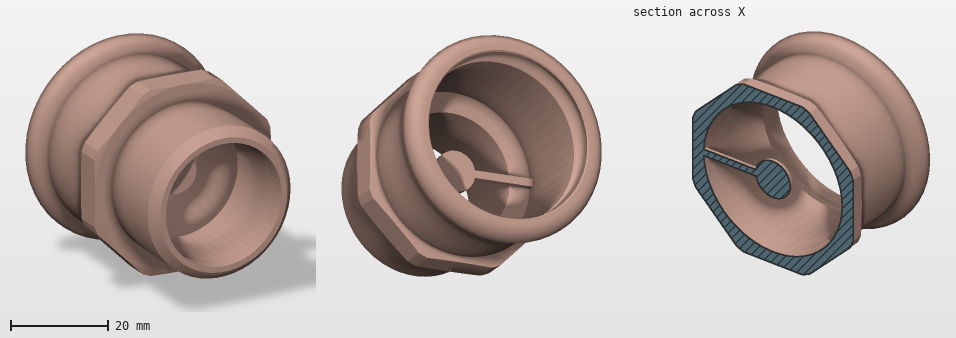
import cadquery as cq
import math

length = 47.5

bead_outer_diameter = 44.4
bead_radius = 3.0
bead_ring_radius = bead_outer_diameter / 2 - bead_radius

sleeve_radius = 19.15
socket_bore_radius = 17.55
bead_cone_end = 6.5
mouth_radius = 18.25
lip_radius = 17.95
lip_depth = 0.3
groove_start = 2.15
groove_start_radius = 19.0
groove_crown = 3.25
groove_crown_radius = 19.85
groove_end = 4.3
groove_end_radius = 19.75
socket_bore_start = 5.75

collar_start = 23.15
collar_end = 29.65
collar_flat_radius = 20.42
collar_corner_radius = 21.7
collar_front_chamfer = 0.5
collar_back_chamfer = 0.35

spigot_radius = 16.6
spigot_tip_radius = 14.7
spigot_chamfer_start = 45.45
spigot_bore_radius = 13.45
shoulder_start = 27.08
shoulder_length = 1.1

disc_radius = 4.4
arm_width = 1.65
disc_thickness = 1.55
arm_embed = 0.48


def revolve_about_x(profile):
    """Revolve a closed profile, drawn as (x, radius), about the X axis."""
    return profile.close().revolve(360, (0, 0, 0), (1, 0, 0))


def on_bead(angle):
    """Point around the bead section, with the angle measured from +X."""
    return (
        bead_radius + bead_radius * math.cos(angle),
        bead_ring_radius + bead_radius * math.sin(angle),
    )


def make_outer_body():
    run = bead_cone_end - bead_radius
    drop = sleeve_radius - bead_ring_radius
    tangent_angle = math.atan2(drop, run) + math.acos(bead_radius / math.hypot(run, drop))
    return revolve_about_x(
        cq.Workplane("XY")
        .moveTo(0, 0)
        .lineTo(0, bead_ring_radius)
        .threePointArc(on_bead(math.pi / 2), on_bead(tangent_angle))
        .lineTo(bead_cone_end, sleeve_radius)
        .lineTo(collar_start, sleeve_radius)
        .lineTo(collar_start, spigot_radius)
        .lineTo(spigot_chamfer_start, spigot_radius)
        .lineTo(length, spigot_tip_radius)
        .lineTo(length, 0)
    )


def make_collar():
    width = collar_end - collar_start
    square = cq.Workplane("YZ", origin=(collar_start, 0, 0)).rect(
        2 * collar_flat_radius, 2 * collar_flat_radius
    ).extrude(width)
    octagon = square.intersect(square.rotate((0, 0, 0), (1, 0, 0), 45))
    turned_blank = revolve_about_x(
        cq.Workplane("XY")
        .moveTo(collar_start, 0)
        .lineTo(collar_start, sleeve_radius)
        .lineTo(collar_start + collar_front_chamfer, collar_corner_radius)
        .lineTo(collar_end - collar_back_chamfer, collar_corner_radius)
        .lineTo(collar_end, collar_flat_radius)
        .lineTo(collar_end, 0)
    )
    return octagon.intersect(turned_blank)


def make_bore():
    return revolve_about_x(
        cq.Workplane("XY")
        .moveTo(0, 0)
        .lineTo(0, mouth_radius)
        .lineTo(lip_depth, lip_radius)
        .lineTo(groove_start, groove_start_radius)
        .threePointArc((groove_crown, groove_crown_radius), (groove_end, groove_end_radius))
        .lineTo(socket_bore_start, socket_bore_radius)
        .lineTo(shoulder_start, socket_bore_radius)
        .lineTo(shoulder_start + shoulder_length, spigot_bore_radius)
        .lineTo(length, spigot_bore_radius)
        .lineTo(length, 0)
    )


def make_disc_and_arm():
    plane = cq.Workplane("YZ", origin=(shoulder_start - disc_thickness, 0, 0))
    disc = plane.circle(disc_radius).extrude(disc_thickness)
    arm_length = socket_bore_radius + arm_embed
    arm = plane.center(-arm_length / 2, 0).rect(arm_length, arm_width).extrude(disc_thickness)
    return disc.union(arm)


result = make_outer_body().union(make_collar()).cut(make_bore()).union(make_disc_and_arm())